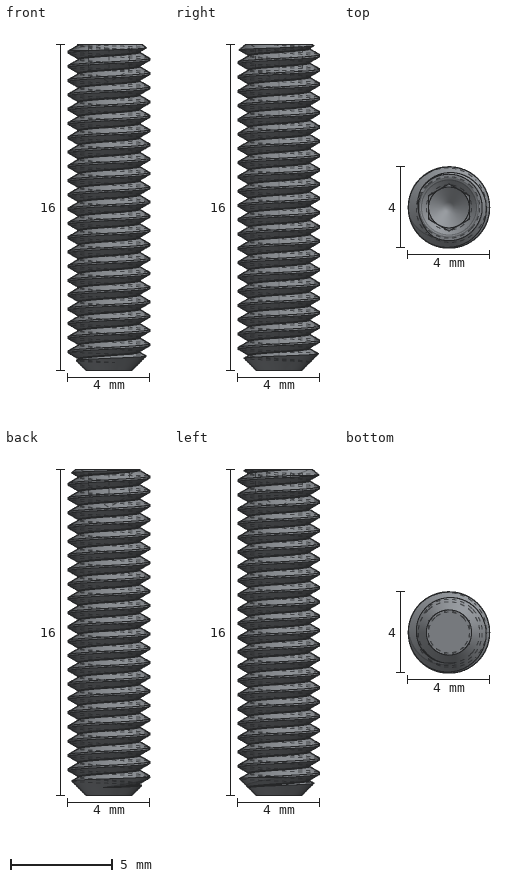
import cadquery as cq
import math

length = 16.0
major_radius = 2.0
pitch = 0.7

flank_angle = math.radians(30)
crest_flat = pitch / 8
root_flat = pitch / 16
crest_height_at_x = 0.57
flank_axial = (pitch - crest_flat - root_flat) / 2
thread_depth = flank_axial / math.tan(flank_angle)
root_radius = major_radius - thread_depth
run_out_turns = 2
plain_end_length = pitch

tip_radius = 1.11
top_face_radius = 1.63
top_chamfer_angle = math.radians(40)
envelope_clearance = 0.3

across_flats = 2.0
across_corners = across_flats / math.cos(math.pi / 6)
socket_depth = 1.28
drill_radius = across_flats / 2
drill_angle = math.radians(30)
mouth_radius = 1.45
mouth_angle = math.radians(35)
mouth_round_width = 0.10
mouth_round_radius = mouth_round_width / math.sin(mouth_angle)


def make_helix_turn(radius, z):
    """One turn of a right-hand helix that starts on +X at height z."""
    return cq.Wire.makeHelix(pitch, pitch, radius).translate(cq.Vector(0, 0, z))


def ridge_outline(z):
    """Thread ridge in the +X half-plane as (radius, z) corners, lower root edge first."""
    return [
        (root_radius, z),
        (major_radius, z + flank_axial),
        (major_radius, z + flank_axial + crest_flat),
        (root_radius, z + 2 * flank_axial + crest_flat),
    ]


def make_turn_faces(z):
    """Helical faces of one turn, starting from a lower root edge at height z on +X."""
    edge_line = ridge_outline(z) + [(root_radius, z + pitch)]
    helices = [make_helix_turn(radius, edge_z) for radius, edge_z in edge_line]
    return [cq.Face.makeRuledSurface(low, high) for low, high in zip(helices, helices[1:])]


def make_end_faces(start_z, disk_z):
    """Close one end: the ridge's flat end, a plain root cylinder and a disk at disk_z."""
    corners = ridge_outline(start_z) + [(root_radius, start_z + pitch)]
    ridge_end = cq.Wire.makePolygon([cq.Vector(radius, 0, z) for radius, z in corners], close=True)
    circle = cq.Wire.makeCircle(root_radius, cq.Vector(0, 0, disk_z), cq.Vector(0, 0, 1))
    root_cylinder = cq.Face.makeRuledSurface(circle, make_helix_turn(root_radius, start_z))
    return [cq.Face.makeFromWires(ridge_end), root_cylinder, cq.Face.makeFromWires(circle)]


def make_threaded_rod():
    """Right-hand threaded rod, longer than the screw at both ends."""
    bottom_z = crest_height_at_x - flank_axial - crest_flat / 2 - run_out_turns * pitch
    turns = math.ceil((length - bottom_z) / pitch)
    top_z = bottom_z + turns * pitch
    faces = make_end_faces(bottom_z, bottom_z - plain_end_length)
    for turn in range(turns):
        faces += make_turn_faces(bottom_z + turn * pitch)
    faces += make_end_faces(top_z, top_z + pitch + plain_end_length)
    return cq.Workplane(cq.Solid.makeSolid(cq.Shell.makeShell(faces)))


def make_end_envelope():
    """Body of revolution with the end faces and chamfers, clear of the thread between them."""
    clear_radius = major_radius + envelope_clearance
    tip_cone_height = clear_radius - tip_radius
    top_cone_height = (clear_radius - top_face_radius) * math.tan(top_chamfer_angle)
    profile = [
        (0, 0),
        (tip_radius, 0),
        (clear_radius, tip_cone_height),
        (clear_radius, length - top_cone_height),
        (top_face_radius, length),
        (0, length),
    ]
    return cq.Workplane("XZ").polyline(profile).close().revolve(360, (0, 0), (0, 1))


def make_drill_point(base_z):
    """Cone pointing down from a circle at height base_z."""
    tip_z = base_z - drill_radius * math.tan(drill_angle)
    profile = [(0, base_z), (drill_radius, base_z), (0, tip_z)]
    return cq.Workplane("XZ").polyline(profile).close().revolve(360, (0, 0), (0, 1))


def make_mouth():
    """Countersink whose upper edge is rounded tangent to the top face and to the cone."""
    def round_point(angle):
        """Point (radius, z) on the rounded edge where its slope is the given angle."""
        return (
            mouth_radius - mouth_round_radius * math.sin(angle),
            length - mouth_round_radius * (1 - math.cos(angle)),
        )

    cone_radius, cone_z = round_point(mouth_angle)
    return (
        cq.Workplane("XZ")
        .moveTo(0, length)
        .lineTo(mouth_radius, length)
        .threePointArc(round_point(mouth_angle / 2), (cone_radius, cone_z))
        .lineTo(0, cone_z - cone_radius * math.tan(mouth_angle))
        .close()
        .revolve(360, (0, 0), (0, 1))
    )


def make_socket():
    """Hexagon with corners on +-Y, drill point below it and a countersunk mouth."""
    floor_z = length - socket_depth
    hexagon = (
        cq.Workplane("XY", origin=(0, 0, floor_z))
        .transformed(rotate=(0, 0, 90))
        .polygon(6, across_corners)
        .extrude(socket_depth)
    )
    drill_point = make_drill_point(floor_z)
    return hexagon.union(drill_point).union(make_mouth())


result = make_threaded_rod().intersect(make_end_envelope()).cut(make_socket())